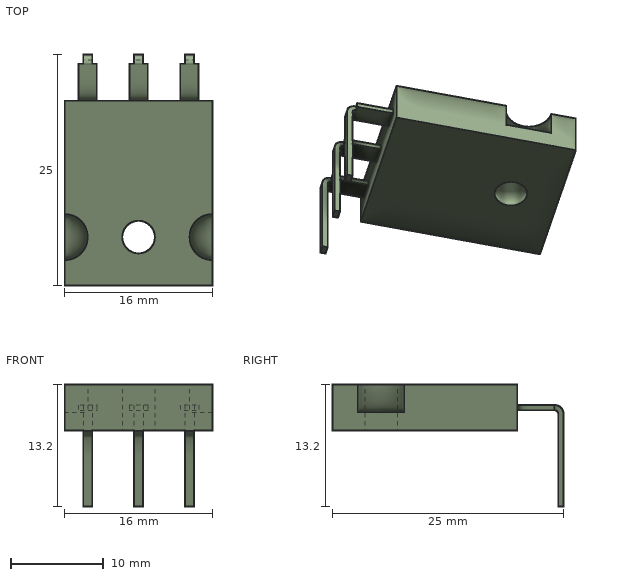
import cadquery as cq

BODY_WIDTH = 16.0
BODY_LENGTH = 20.0
BODY_HEIGHT = 5.0

HOLE_DIAMETER = 3.5
HOLE_Y = 5.25
NOTCH_RADIUS = 2.5
NOTCH_DEPTH = 3.0

LEAD_COUNT = 3
LEAD_PITCH = 5.5
LEAD_THICKNESS = 0.6
ROOT_WIDTH = 2.0
ROOT_LENGTH = 4.0
PIN_WIDTH = 1.0
BEND_OUTER_RADIUS = 1.0
BEND_INNER_RADIUS = BEND_OUTER_RADIUS - LEAD_THICKNESS
PIN_DROP = 8.2

LEAD_BOTTOM_Z = (BODY_HEIGHT - LEAD_THICKNESS) / 2
LEAD_TOP_Z = LEAD_BOTTOM_Z + LEAD_THICKNESS
BEND_START_Y = BODY_LENGTH + ROOT_LENGTH
BEND_CENTRE_Z = LEAD_TOP_Z - BEND_OUTER_RADIUS


def make_body():
    """Rectangular block with a through hole and a round notch in each side."""
    body = cq.Workplane("XY").box(BODY_WIDTH, BODY_LENGTH, BODY_HEIGHT, centered=(True, False, False))
    hole = cq.Workplane("XY").center(0, HOLE_Y).circle(HOLE_DIAMETER / 2).extrude(BODY_HEIGHT)
    notches = (
        cq.Workplane("XY", origin=(0, HOLE_Y, BODY_HEIGHT))
        .pushPoints([(-BODY_WIDTH / 2, 0), (BODY_WIDTH / 2, 0)])
        .circle(NOTCH_RADIUS)
        .extrude(-NOTCH_DEPTH)
    )
    return body.cut(hole).cut(notches)


def make_lead():
    """One lead at X = 0, leaving the back of the body and bending down."""
    root = (
        cq.Workplane("XY", origin=(0, BODY_LENGTH, LEAD_BOTTOM_Z))
        .box(ROOT_WIDTH, ROOT_LENGTH, LEAD_THICKNESS, centered=(True, False, False))
    )
    pin = (
        cq.Workplane("YZ")
        .moveTo(BEND_START_Y, LEAD_TOP_Z)
        .radiusArc((BEND_START_Y + BEND_OUTER_RADIUS, BEND_CENTRE_Z), BEND_OUTER_RADIUS)
        .lineTo(BEND_START_Y + BEND_OUTER_RADIUS, -PIN_DROP)
        .lineTo(BEND_START_Y + BEND_INNER_RADIUS, -PIN_DROP)
        .lineTo(BEND_START_Y + BEND_INNER_RADIUS, BEND_CENTRE_Z)
        .radiusArc((BEND_START_Y, LEAD_BOTTOM_Z), -BEND_INNER_RADIUS)
        .close()
        .extrude(PIN_WIDTH / 2, both=True)
    )
    return root.union(pin)


result = make_body()
lead = make_lead()
for index in range(LEAD_COUNT):
    lead_x = (index - (LEAD_COUNT - 1) / 2) * LEAD_PITCH
    result = result.union(lead.translate((lead_x, 0, 0)))